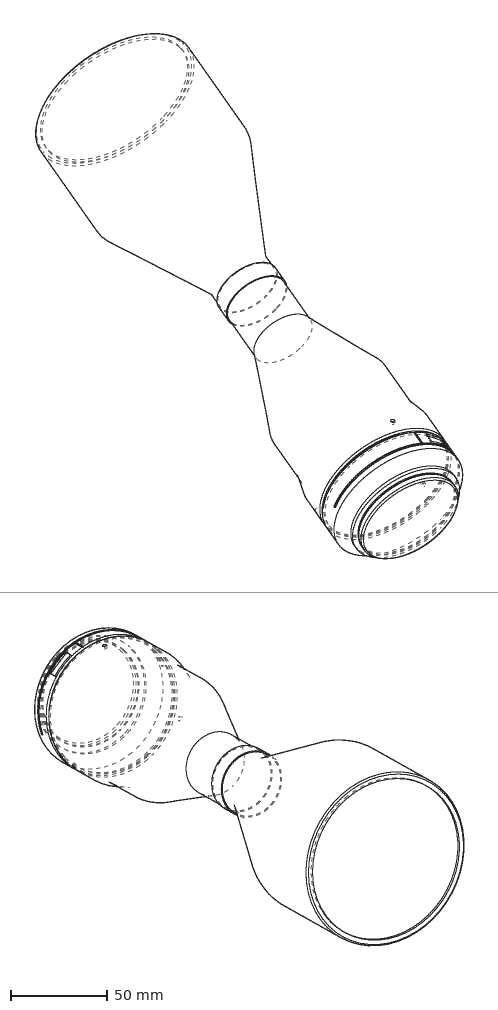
import math
import cadquery as cq

TOTAL_LENGTH = 320.3

BARREL_RADIUS = 46.92
BARREL_END = 62.5
BARREL_CHAMFER = 1.0
LENS_RADIUS = 43.5
LENS_RIM_DEPTH = 1.5
LENS_BULGE = 1.5

NECK_RADIUS = 17.3
NECK_START = 133.0
NECK_END = 182.5
COLLAR_RADIUS = 18.0
COLLAR_START = 143.8
COLLAR_END = 154.0
CONE_BLEND_RADIUS = 4.8

HOUSING_RADIUS = 35.2
HOUSING_START = 232.2
HOUSING_END = 261.5
RING_RADIUS = 38.0
RING_START = 273.2
RING_CHAMFER_LENGTH = 1.3
RING_CHAMFER_DROP = 0.5
GAP_START = 293.0
GAP_END = 294.7
GAP_DEPTH = 1.5
TAPER_START = 307.2
TAPER_END = 313.5

FLANGE_RADIUS = 31.7
FLANGE_END = 315.5
MOUNT_RADIUS = 28.8
MOUNT_CHAMFER = 1.0
RELIEF_WIDTH = 1.0
RELIEF_DEPTH = 0.3

HOLE_COUNT = 3
HOLE_DIAMETER = 2.2
HOLE_DEPTH = 1.5
HOLE_X = 284.5
FIRST_HOLE_ANGLE = 76.0

GROOVE_X = 303.3
GROOVE_WIDTH = 1.0
GROOVE_DEPTH = 0.3
GROOVE_START_ANGLE = -20.0
GROOVE_SWEEP = 180.0
POCKET_X = 299.0
POCKET_LENGTH = 5.5
POCKET_WIDTH = 13.8
POCKET_ANGLE = 43.0
POCKET_FLOOR_RADIUS = 36.8
INDEX_ANGLE = 64.5
INDEX_WIDTH = 0.5

CLEARANCE = 3.2


def make_body():
    """Revolve the stepped outline, with the bulging lens closing the front end."""
    gap_radius = RING_RADIUS - GAP_DEPTH
    lens_apex = LENS_RIM_DEPTH - LENS_BULGE
    lens_sphere_radius = (LENS_RADIUS**2 + LENS_BULGE**2) / (2 * LENS_BULGE)
    lens_mid_height = LENS_RADIUS / 2
    lens_centre_x = lens_apex + lens_sphere_radius
    lens_mid_x = lens_centre_x - math.sqrt(lens_sphere_radius**2 - lens_mid_height**2)
    outline = (
        cq.Workplane("XY")
        .moveTo(lens_apex, 0)
        .threePointArc((lens_mid_x, lens_mid_height), (LENS_RIM_DEPTH, LENS_RADIUS))
        .lineTo(0, LENS_RADIUS)
        .lineTo(0, BARREL_RADIUS - BARREL_CHAMFER)
        .lineTo(BARREL_CHAMFER, BARREL_RADIUS)
        .lineTo(BARREL_END, BARREL_RADIUS)
        .lineTo(NECK_START, NECK_RADIUS)
        .lineTo(COLLAR_START, NECK_RADIUS)
        .lineTo(COLLAR_START, COLLAR_RADIUS)
        .lineTo(COLLAR_END, COLLAR_RADIUS)
        .lineTo(COLLAR_END, NECK_RADIUS)
        .lineTo(NECK_END, NECK_RADIUS)
        .lineTo(HOUSING_START, HOUSING_RADIUS)
        .lineTo(HOUSING_END, HOUSING_RADIUS)
        .lineTo(RING_START, RING_RADIUS)
        .lineTo(GAP_START - RING_CHAMFER_LENGTH, RING_RADIUS)
        .lineTo(GAP_START, RING_RADIUS - RING_CHAMFER_DROP)
        .lineTo(GAP_START, gap_radius)
        .lineTo(GAP_END, gap_radius)
        .lineTo(GAP_END, RING_RADIUS)
        .lineTo(TAPER_START, RING_RADIUS)
        .lineTo(TAPER_END, FLANGE_RADIUS)
        .lineTo(FLANGE_END, FLANGE_RADIUS)
        .lineTo(FLANGE_END, MOUNT_RADIUS - RELIEF_DEPTH)
        .lineTo(FLANGE_END + RELIEF_WIDTH, MOUNT_RADIUS - RELIEF_DEPTH)
        .lineTo(FLANGE_END + RELIEF_WIDTH, MOUNT_RADIUS)
        .lineTo(TOTAL_LENGTH - MOUNT_CHAMFER, MOUNT_RADIUS)
        .lineTo(TOTAL_LENGTH, MOUNT_RADIUS - MOUNT_CHAMFER)
        .lineTo(TOTAL_LENGTH, 0)
        .close()
    )
    return outline.revolve(360, (0, 0, 0), (1, 0, 0))


def blend_cones(body):
    """Round the edges where the cones meet the barrel, the neck and the housing."""
    reach = BARREL_RADIUS + CLEARANCE
    for station in (BARREL_END, NECK_START, HOUSING_START):
        edges = cq.selectors.BoxSelector(
            (station - CLEARANCE, -reach, -reach),
            (station + CLEARANCE, reach, reach),
            boundingbox=True,
        )
        body = body.edges(edges).fillet(CONE_BLEND_RADIUS)
    return body


def turn_about_axis(shape, angle):
    """Turn a shape about the lens axis, from +Y towards +Z."""
    return shape.rotate((0, 0, 0), (1, 0, 0), angle)


def ring_cutter(x, length, width, floor_radius, angle):
    """Box standing on a flat floor inside the ring, centred on the given angle."""
    height = RING_RADIUS + CLEARANCE - floor_radius
    box = cq.Workplane("XY").box(length, height, width).translate((x, floor_radius + height / 2, 0))
    return turn_about_axis(box, angle)


def screw_hole(angle):
    """Blind radial hole into the rear ring at the given angle."""
    hole = (
        cq.Workplane("XZ", origin=(HOLE_X, RING_RADIUS + CLEARANCE, 0))
        .circle(HOLE_DIAMETER / 2)
        .extrude(HOLE_DEPTH + CLEARANCE)
    )
    return turn_about_axis(hole, angle)


def arc_groove():
    """Thin groove running half way round the last ring."""
    groove = (
        cq.Workplane("XY")
        .center(GROOVE_X, RING_RADIUS)
        .rect(GROOVE_WIDTH, 2 * GROOVE_DEPTH)
        .revolve(GROOVE_SWEEP, (0, -RING_RADIUS, 0), (1, -RING_RADIUS, 0))
    )
    return turn_about_axis(groove, GROOVE_START_ANGLE)


result = blend_cones(make_body())

for index in range(HOLE_COUNT):
    result = result.cut(screw_hole(FIRST_HOLE_ANGLE + index * 360 / HOLE_COUNT))

result = result.cut(arc_groove())
result = result.cut(ring_cutter(POCKET_X, POCKET_LENGTH, POCKET_WIDTH, POCKET_FLOOR_RADIUS, POCKET_ANGLE))

index_length = GROOVE_X - GAP_END
index_x = (GAP_END + GROOVE_X) / 2
result = result.cut(
    ring_cutter(index_x, index_length, INDEX_WIDTH, RING_RADIUS - GROOVE_DEPTH, INDEX_ANGLE)
)